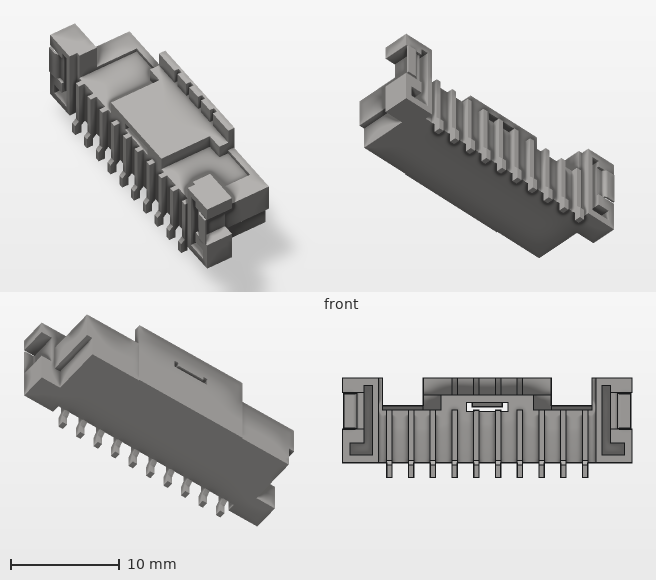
import cadquery as cq


body_width = 23.62
foot_width = 22.4
foot_height = 2.31
shoulder_height = 5.25
body_back = 0.08
body_front = 6.97
recess_width = 19.2
recess_back = 0.72
deck_height = 4.85

roof_height = 6.22
roof_width = 8.55
rear_width = 11.75
rear_depth = 1.68
wall_height = 7.8
wall_thickness = 0.7
wall_notch_count = 4
wall_notch_back = 0.25

window_width = 3.78
window_bottom = 4.7
window_top = 5.53
latch_width = 2.8
latch_bottom = 5.13
latch_depth = 0.8

pin_count = 10
pin_pitch = 2.0
pin_width = 0.5
pin_front = 7.6
pin_bend_top = 0.2
pin_joggle = 0.4
pin_back_bend = 0.43
pin_tail_thickness = 0.66
pin_drop = 1.35

total_width = 26.6
block_back = 5.08
block_front = 7.8
block_face_inner = 10.0

pocket_inner = 10.53
pocket_outer = 11.33
pocket_toe = 12.6
pocket_bottom = 0.72
pocket_toe_top = 1.84
pocket_top = 7.1
pocket_depth = 2.13

notch_bottom = 3.09
notch_top = 6.45
notch_front_setback = 0.27
tab_inner = 11.95
tab_outer = 13.2
tab_thickness = 0.19
tab_bend_radius = 0.19
tab_clearance = 0.08
tab_leg_back = 6.46


def block(x_min, x_max, depth_min, depth_max, z_min, z_max):
    """Axis-aligned box, with Y given as depths forward of the rear face."""
    size = (x_max - x_min, depth_max - depth_min, z_max - z_min)
    corner = (x_min, -depth_max, z_min)
    return cq.Workplane("XY").box(*size, centered=False).translate(corner)


def centred_block(width, depth_min, depth_max, z_min, z_max):
    return block(-width / 2, width / 2, depth_min, depth_max, z_min, z_max)


def side_profile(points, width):
    """Extrude an outline of (depth, z) points to a width centred on X = 0."""
    outline = [(-depth, z) for depth, z in points]
    return cq.Workplane("YZ").polyline(outline).close().extrude(width / 2, both=True)


def row_positions(count):
    return [(i - (count - 1) / 2) * pin_pitch for i in range(count)]


def make_housing():
    foot = centred_block(foot_width, body_back, body_front, 0, foot_height)
    upper = centred_block(body_width, body_back, body_front, foot_height, shoulder_height)
    recess = centred_block(recess_width, recess_back, body_front, deck_height, shoulder_height)
    return foot.union(upper).cut(recess)


def make_raised_centre():
    centre = centred_block(roof_width, 0, body_front, 0, roof_height)
    centre = centre.union(centred_block(rear_width, 0, rear_depth, 0, roof_height))
    centre = centre.union(centred_block(rear_width, 0, wall_thickness, 0, wall_height))
    notch = centred_block(pin_width, wall_notch_back, wall_thickness, roof_height, wall_height)
    for x in row_positions(wall_notch_count):
        centre = centre.cut(notch.translate((x, 0, 0)))
    return centre


def make_latch():
    """Sloped catch hanging from the top of the window at its rear end."""
    slope = window_top - latch_bottom
    outline = [
        (0, latch_bottom),
        (latch_depth, latch_bottom),
        (latch_depth - slope, window_top),
        (0, window_top),
    ]
    return side_profile(outline, latch_width)


def make_pin():
    tail_front = pin_front + pin_joggle
    tail_back = tail_front - pin_tail_thickness
    outline = [
        (body_front, deck_height),
        (pin_front, deck_height),
        (pin_front, pin_bend_top),
        (tail_front, pin_bend_top - pin_joggle),
        (tail_front, -pin_drop),
        (tail_back, -pin_drop),
        (tail_back, -pin_back_bend),
        (tail_back - pin_back_bend, 0),
        (body_front, 0),
    ]
    return side_profile(outline, pin_width)


def make_tab():
    """Bent solder tab at the +X end: a front panel with a leg turned back along the notch wall."""
    z_min = notch_bottom + tab_clearance
    z_max = notch_top - tab_clearance
    panel_front = block_front + tab_thickness
    leg_outer = tab_inner + tab_thickness
    outer_radius = tab_bend_radius + tab_thickness
    panel = block(tab_inner, tab_outer, block_front, panel_front, z_min, z_max)
    leg = block(tab_inner, leg_outer, tab_leg_back, panel_front, z_min, z_max)
    bend = block(
        leg_outer, leg_outer + tab_bend_radius,
        block_front - tab_bend_radius, block_front, z_min, z_max,
    )
    hollow = (
        cq.Workplane("XY", origin=(leg_outer + tab_bend_radius, tab_bend_radius - block_front, z_min))
        .circle(tab_bend_radius)
        .extrude(z_max - z_min)
    )
    tab = panel.union(leg).union(bend.cut(hollow))
    return tab.edges("|Z and <X and <Y").fillet(outer_radius)


def make_end_block():
    """End block at the +X end with its side notch and solder tab."""
    outer = total_width / 2
    end = block(recess_width / 2, outer, block_back, body_front, 0, wall_height)
    end = end.union(block(block_face_inner, outer, body_front, block_front, 0, wall_height))

    notch_wall = tab_inner + tab_thickness
    notch_wall_front = block_front - notch_front_setback
    end = end.cut(block(notch_wall, outer, block_back, block_front, notch_bottom, notch_top))
    end = end.cut(block(pocket_outer, outer, notch_wall_front, block_front, notch_bottom, notch_top))
    return end.union(make_tab())


def make_pocket():
    """L-shaped pocket of the +X end, reaching from the block's face back into the housing."""
    pocket_back = block_front - pocket_depth
    stem = block(pocket_inner, pocket_outer, pocket_back, block_front, pocket_bottom, pocket_top)
    toe = block(pocket_outer, pocket_toe, pocket_back, block_front, pocket_bottom, pocket_toe_top)
    return stem.union(toe)


window = centred_block(window_width, 0, body_front, window_bottom, window_top)
result = make_housing().union(make_raised_centre()).cut(window).union(make_latch())

end_block = make_end_block()
result = result.union(end_block).union(end_block.mirror("YZ"))

pocket = make_pocket()
result = result.cut(pocket).cut(pocket.mirror("YZ"))

pin = make_pin()
for pin_x in row_positions(pin_count):
    result = result.union(pin.translate((pin_x, 0, 0)))